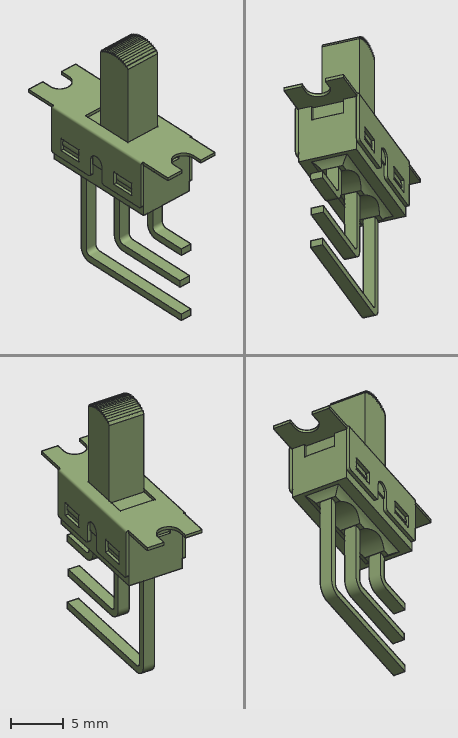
import cadquery as cq
import math


plate_length = 19.56
plate_width = 6.1
plate_thickness = 0.33
notch_width = 2.4
notch_depth = 2.26
window_length = 5.94
window_width = 3.9

case_length = 12.6
cover_width = 6.6
cover_height = 5.35
cover_bend_radius = 0.25
cover_corner_radius = 0.3

base_width = 5.92
base_end_setback = 0.02
base_bottom = -6.33
end_recess_width = 3.26
end_recess_bottom = -1.87
end_recess_depth = 0.3

slot_width = 1.58
slot_top = -2.58
slot_mouth_radius = 0.3
arch_lug_width = 1.42
arch_lug_bottom = -3.9

opening_center_x = 3.71
opening_width = 2.51
opening_top = -3.08
opening_bottom = -4.5
latch_center_x = 3.77
latch_width = 2.3
latch_ramp_bottom = -3.6
latch_bottom = -3.92
lug_height = 0.15

slider_clearance = 0.02
slider_length = 3.84
slider_top = 9.42
tooth_count = 15
crest_radius = 3.0
root_radius = 3.4
crest_lean = 0.16
tooth_depth = 0.3

pin_pitch = 4.66
pin_thickness = 0.76
pin_width = 1.25
pin_bend_inner_radius = 0.5
foot_bottoms = (-18.32, -14.5, -10.68)
foot_ends = (9.03, 8.86, 9.03)

seal_bottom = -7.0
seal_trough = -6.53
seal_length = 11.64
seal_width = 3.66
seal_tip_length = 0.84
seal_tip_width = 2.15
flare_sag = 0.06


def box(x_range, y_range, z_range):
    """Axis-aligned block between the given limits."""
    size = [high - low for low, high in (x_range, y_range, z_range)]
    corner = (x_range[0], y_range[0], z_range[0])
    return cq.Workplane("XY").box(*size, centered=False).translate(corner)


def centered_range(width, center=0.0):
    return (center - width / 2, center + width / 2)


def extrude_along_y(sketch, width):
    """Extrude an XZ sketch symmetrically about Y = 0."""
    return sketch.extrude(width / 2, both=True)


def make_plate():
    plate = box(centered_range(plate_length), centered_range(plate_width), (-plate_thickness, 0))
    slot_length = 2 * notch_depth
    notches = (
        cq.Workplane("XY")
        .pushPoints([(-plate_length / 2, 0), (plate_length / 2, 0)])
        .slot2D(slot_length, notch_width)
        .extrude(-plate_thickness)
    )
    return plate.cut(notches)


def arch():
    """XZ sketch of the arched slot, reaching down to the cover's lower edge."""
    radius = slot_width / 2
    spring = slot_top - radius
    return (
        cq.Workplane("XZ")
        .moveTo(-radius, -cover_height)
        .lineTo(-radius, spring)
        .threePointArc((0, slot_top), (radius, spring))
        .lineTo(radius, -cover_height)
        .close()
    )


def make_cover():
    cover = (
        box(centered_range(case_length), centered_range(cover_width), (-cover_height, 0))
        .edges("|X and >Z")
        .fillet(cover_bend_radius)
        .edges("|Y and <Z")
        .fillet(cover_corner_radius)
    )
    cover = cover.cut(extrude_along_y(arch(), cover_width))
    mouth = cq.selectors.BoxSelector(
        (-slot_width, -cover_width, -cover_height - slot_mouth_radius),
        (slot_width, cover_width, -cover_height + slot_mouth_radius),
    )
    cover = cover.edges("|Y").edges(mouth).fillet(slot_mouth_radius)
    cover = cover.cut(
        box(centered_range(case_length), centered_range(base_width), (-cover_height, -plate_thickness))
    )
    for side in (-1, 1):
        cover = cover.cut(
            box(
                centered_range(opening_width, side * opening_center_x),
                centered_range(cover_width),
                (opening_bottom, opening_top),
            )
        )
    return cover


def make_base():
    base_length = case_length - 2 * base_end_setback
    base = box(centered_range(base_length), centered_range(base_width), (base_bottom, -plate_thickness))
    for side in (-1, 1):
        end_center = side * (base_length - end_recess_depth) / 2
        base = base.cut(
            box(
                centered_range(end_recess_depth, end_center),
                centered_range(end_recess_width),
                (end_recess_bottom, -plate_thickness),
            )
        )
    return base


def make_arch_lugs():
    lug_span = base_width + 2 * lug_height
    limits = box(centered_range(arch_lug_width), centered_range(lug_span), (arch_lug_bottom, slot_top))
    return extrude_along_y(arch(), lug_span).intersect(limits)


def make_latch_lugs(center_x):
    """Wedges on both long sides of the base, ramped at the top."""
    inner = base_width / 2
    outer = inner + lug_height
    return (
        cq.Workplane("YZ", origin=(center_x, 0, 0))
        .polyline(
            [
                (-inner, opening_top),
                (inner, opening_top),
                (outer, latch_ramp_bottom),
                (outer, latch_bottom),
                (-outer, latch_bottom),
                (-outer, latch_ramp_bottom),
            ]
        )
        .close()
        .extrude(latch_width / 2, both=True)
    )


def sign(value):
    return (value > 0) - (value < 0)


def make_slider():
    """Slider with a domed top of ribs; crests and roots lie on two arcs."""
    right = window_length / 2 - slider_clearance
    left = right - slider_length
    center = (left + right) / 2
    tooth_pitch = slider_length / tooth_count
    middle_tooth = tooth_count // 2

    def arc_height(x, top, radius):
        return top - radius + math.sqrt(radius**2 - (x - center) ** 2)

    root_top = slider_top - tooth_depth
    outline = [(left, -plate_thickness), (left, arc_height(left, root_top, root_radius))]
    for tooth in range(tooth_count):
        lean = crest_lean * sign(middle_tooth - tooth)
        crest_x = left + (tooth + 0.5 + lean) * tooth_pitch
        root_x = left + (tooth + 1) * tooth_pitch
        outline.append((crest_x, arc_height(crest_x, slider_top, crest_radius)))
        outline.append((root_x, arc_height(root_x, root_top, root_radius)))
    outline.append((right, -plate_thickness))
    sketch = cq.Workplane("XZ").polyline(outline).close()
    return extrude_along_y(sketch, window_width - 2 * slider_clearance)


def make_pin(x, foot_bottom, foot_end):
    left = x - pin_thickness / 2
    right = x + pin_thickness / 2
    foot_top = foot_bottom + pin_thickness
    inner = pin_bend_inner_radius
    outer = inner + pin_thickness
    sketch = (
        cq.Workplane("XZ")
        .moveTo(left, base_bottom)
        .lineTo(left, foot_bottom + outer)
        .radiusArc((left + outer, foot_bottom), -outer)
        .lineTo(foot_end, foot_bottom)
        .lineTo(foot_end, foot_top)
        .lineTo(right + inner, foot_top)
        .radiusArc((right, foot_top + inner), inner)
        .lineTo(right, base_bottom)
        .close()
    )
    return extrude_along_y(sketch, pin_width)


def make_seal():
    """Compound flaring from each terminal up to the base, with arched troughs between."""
    end = seal_length / 2
    tip = seal_tip_length / 2
    lengthwise = (
        cq.Workplane("XZ")
        .moveTo(-end, base_bottom)
        .sagittaArc((-pin_pitch - tip, seal_bottom), flare_sag)
        .lineTo(-pin_pitch + tip, seal_bottom)
        .threePointArc((-pin_pitch / 2, seal_trough), (-tip, seal_bottom))
        .lineTo(tip, seal_bottom)
        .threePointArc((pin_pitch / 2, seal_trough), (pin_pitch - tip, seal_bottom))
        .lineTo(pin_pitch + tip, seal_bottom)
        .sagittaArc((end, base_bottom), flare_sag)
        .close()
    )
    crosswise = (
        cq.Workplane("YZ")
        .moveTo(-seal_width / 2, base_bottom)
        .sagittaArc((-seal_tip_width / 2, seal_bottom), flare_sag)
        .lineTo(seal_tip_width / 2, seal_bottom)
        .sagittaArc((seal_width / 2, base_bottom), flare_sag)
        .close()
        .extrude(end, both=True)
    )
    return extrude_along_y(lengthwise, seal_width).intersect(crosswise)


window = box(centered_range(window_length), centered_range(window_width), (-plate_thickness, 0))

result = make_cover().union(make_plate()).cut(window)
result = result.union(make_base()).union(make_arch_lugs())
for side in (-1, 1):
    result = result.union(make_latch_lugs(side * latch_center_x))
result = result.union(make_slider()).union(make_seal())
for index, (foot_bottom, foot_end) in enumerate(zip(foot_bottoms, foot_ends)):
    result = result.union(make_pin((index - 1) * pin_pitch, foot_bottom, foot_end))